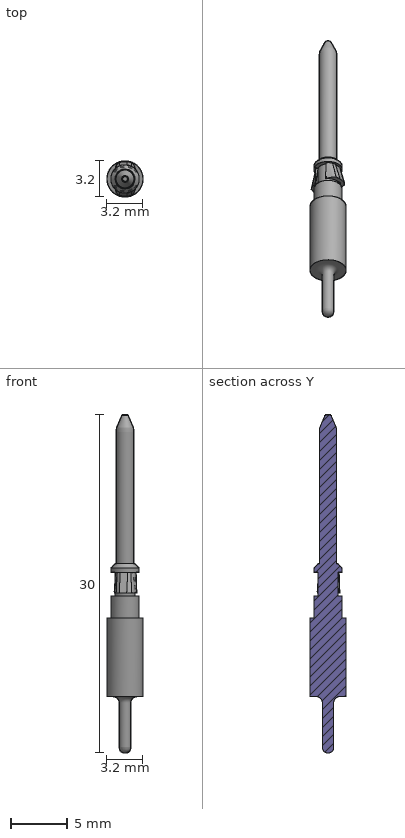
import cadquery as cq

total_length = 30.0
body_diameter = 3.2

body_radius = body_diameter / 2
collar_radius = 1.25
neck_radius = 0.9
pin_radius = 0.795
tip_radius = 0.3
tip_flat_radius = 0.2
tail_radius = 0.525

dome_height = 0.5
body_bottom = 5.0
body_top = 12.0
shoulder_top = 13.95
collar_bottom = 16.02
collar_edge = 16.4
collar_top = 16.8
pin_straight_end = 28.45
taper_start = 28.85

root_fillet = 0.55
tip_edge = tip_radius - tip_flat_radius
taper_radius = 0.75
collar_cone_top_radius = 0.87

claw_bottom = 14.22
claw_gap_radius = 1.15
claw_bottom_outline = [
    (-0.95, 0.6), (-0.78, 1.23), (-0.5, 1.47), (0.15, 1.53), (0.6, 1.45), (0.78, 1.25), (1.05, 0.6),
]
claw_top_outline = [
    (-0.85, 0.6), (-0.7, 0.9), (-0.42, 1.02), (0.25, 1.05), (0.5, 0.95), (0.75, 0.78), (1.0, 0.6),
]


def make_pin():
    """Revolve the half profile of the contact about Z."""
    bend = 1 - 0.5 ** 0.5
    dome_mid = (tail_radius * 0.5 ** 0.5, dome_height * bend)
    root_mid = (tail_radius + root_fillet * bend, body_bottom - root_fillet * bend)
    return (
        cq.Workplane("XZ")
        .moveTo(0, 0)
        .threePointArc(dome_mid, (tail_radius, dome_height))
        .lineTo(tail_radius, body_bottom - root_fillet)
        .threePointArc(root_mid, (tail_radius + root_fillet, body_bottom))
        .lineTo(body_radius, body_bottom)
        .lineTo(body_radius, body_top)
        .lineTo(collar_radius, body_top)
        .lineTo(collar_radius, shoulder_top)
        .lineTo(neck_radius, shoulder_top)
        .lineTo(neck_radius, collar_bottom)
        .lineTo(collar_radius, collar_bottom)
        .lineTo(collar_radius, collar_edge)
        .lineTo(collar_cone_top_radius, collar_top)
        .lineTo(pin_radius, collar_top)
        .lineTo(pin_radius, pin_straight_end)
        .tangentArcPoint((taper_radius, taper_start), relative=False)
        .lineTo(tip_radius, total_length - tip_edge)
        .lineTo(tip_flat_radius, total_length)
        .lineTo(0, total_length)
        .close()
        .revolve(360, (0, 0, 0), (0, 1, 0))
    )


def make_claw():
    """Faceted leaf hanging from the collar, flaring outward and clear of the neck."""
    leaf = (
        cq.Workplane("XY")
        .workplane(offset=claw_bottom)
        .polyline(claw_bottom_outline)
        .close()
        .workplane(offset=collar_bottom - claw_bottom)
        .polyline(claw_top_outline)
        .close()
        .loft(ruled=True)
    )
    gap = cq.Workplane(
        cq.Solid.makeCone(
            claw_gap_radius, neck_radius, collar_bottom - claw_bottom, pnt=cq.Vector(0, 0, claw_bottom)
        )
    )
    return leaf.cut(gap)


claw = make_claw()
result = make_pin().union(claw).union(claw.mirror("XZ"))